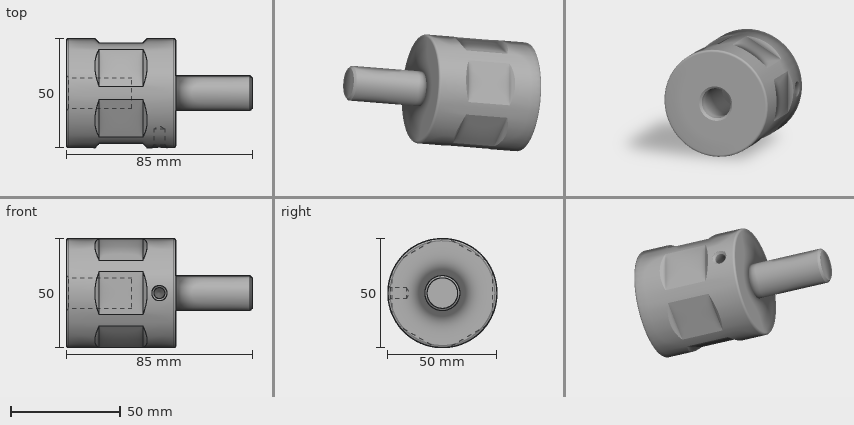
import cadquery as cq
import math

total_length = 85.0
body_diameter = 50.0
body_length = 50.0
shank_diameter = 16.0
edge_size = 1.0

flat_count = 6
across_flats = 46.0
flat_start = 15.0
flat_length = 20.0

bore_diameter = 14.0
bore_depth = 29.75

radial_hole_x = 42.5
radial_hole_diameter = 5.0
radial_hole_depth = 8.5
countersink_diameter = 7.0
drill_point_angle = 118.0

body_radius = body_diameter / 2


def make_body():
    """Rounded cylinder carrying the flats."""
    body = cq.Workplane("YZ").circle(body_radius).extrude(body_length)
    return body.faces("<X or >X").edges().fillet(edge_size)


def make_shank():
    """Pin with a chamfered free end."""
    shank = cq.Workplane("YZ", origin=(body_length, 0, 0)).circle(shank_diameter / 2)
    return shank.extrude(total_length - body_length).faces(">X").chamfer(edge_size)


def make_flat_cutter():
    """Trapezoidal cutter for the -Y flat, with ends sloping outward at 45 degrees."""
    flat_y = -across_flats / 2
    outer_y = -body_radius - 0.85
    slope_run = flat_y - outer_y
    flat_end = flat_start + flat_length
    profile = [
        (flat_start, flat_y),
        (flat_end, flat_y),
        (flat_end + slope_run, outer_y),
        (flat_start - slope_run, outer_y),
    ]
    return cq.Workplane("XY").polyline(profile).close().extrude(body_radius, both=True)


def make_bore():
    """Flat-bottomed axial bore with a chamfered mouth."""
    bore_radius = bore_diameter / 2
    profile = [
        (0, 0),
        (0, bore_radius + edge_size),
        (edge_size, bore_radius),
        (bore_depth, bore_radius),
        (bore_depth, 0),
    ]
    return cq.Workplane("XY").polyline(profile).close().revolve(360, (0, 0), (1, 0))


def make_radial_hole():
    """Countersunk hole with a conical bottom, revolved about its own axis along Y."""
    hole_radius = radial_hole_diameter / 2
    sink_radius = countersink_diameter / 2
    sink_y = -math.sqrt(body_radius**2 - sink_radius**2)
    bottom_y = -body_radius + radial_hole_depth
    point_depth = hole_radius / math.tan(math.radians(drill_point_angle / 2))
    profile = [
        (0, -body_radius),
        (sink_radius, -body_radius),
        (sink_radius, sink_y),
        (hole_radius, sink_y + sink_radius - hole_radius),
        (hole_radius, bottom_y),
        (0, bottom_y + point_depth),
    ]
    hole = cq.Workplane("XY").polyline(profile).close().revolve(360, (0, 0), (0, 1))
    return hole.translate((radial_hole_x, 0, 0))


result = make_body().union(make_shank())
flat_cutter = make_flat_cutter()
for index in range(flat_count):
    angle = index * 360 / flat_count
    result = result.cut(flat_cutter.rotate((0, 0, 0), (1, 0, 0), angle))
result = result.cut(make_bore()).cut(make_radial_hole())